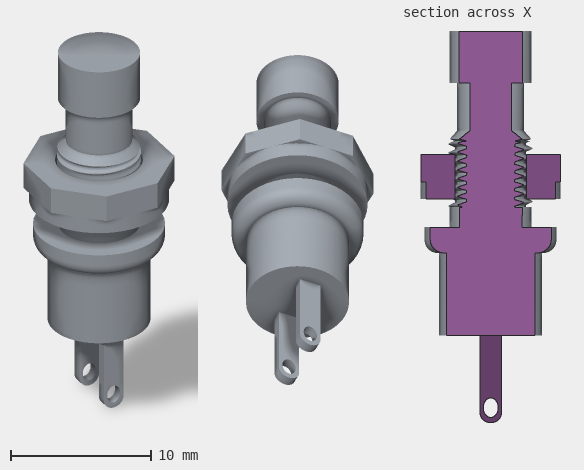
import cadquery as cq
import math

barrel_bottom = 6.2
flange_bottom = 12.09
flange_top = 13.95
thread_bottom = 15.35
washer_bottom = 15.95
nut_bottom = 17.15
nut_top = 19.15
thread_top = 20.07
bushing_rim = 20.2
bushing_top = 20.82
cap_bottom = 24.2
cap_top = 27.9

barrel_diameter = 7.35
flange_diameter = 9.4
flange_fillet = 0.95
bushing_diameter = 5.83
stem_diameter = 4.75
cap_diameter = 5.85

thread_root_diameter = 5.05
thread_crest_diameter = 6.0
lowest_crest = 15.6
highest_crest = 20.0
crest_turns = 7
thread_pitch = (highest_crest - lowest_crest) / crest_turns
ridge_base_height = 0.85 * thread_pitch
ridge_crest_height = 0.05
ridge_embed = 0.05

nut_width = 10.0
nut_hole_diameter = 6.25

terminal_thickness = 0.75
terminal_width = 1.6
terminal_spacing = 3.68
eyelet_width = 1.03
eyelet_height = 1.37
eyelet_center = 1.1


def cylinder(diameter, bottom, top):
    return cq.Workplane("XY").workplane(offset=bottom).circle(diameter / 2).extrude(top - bottom)


def make_threaded_core():
    """Thread core with a helical ridge, trimmed flat at both ends."""
    root_radius = thread_root_diameter / 2
    base_radius = root_radius - ridge_embed
    crest_radius = thread_crest_diameter / 2
    half_base = ridge_base_height / 2
    half_crest = ridge_crest_height / 2
    start = lowest_crest - thread_pitch
    helix_height = (crest_turns + 2) * thread_pitch
    path = cq.Wire.makeHelix(thread_pitch, helix_height, root_radius)
    ridge = (
        cq.Workplane("XZ")
        .polyline([
            (base_radius, -half_base),
            (crest_radius, -half_crest),
            (crest_radius, half_crest),
            (base_radius, half_base),
        ])
        .close()
        .sweep(cq.Workplane(obj=path), isFrenet=True)
        .rotate((0, 0, 0), (0, 0, 1), 180)
        .translate((0, 0, start))
    )
    core = cylinder(thread_root_diameter, start - thread_pitch, start + helix_height + thread_pitch)
    trim = cylinder(2 * thread_crest_diameter, thread_bottom, thread_top)
    return core.union(ridge).intersect(trim)


def make_barrel():
    """Barrel with its rounded flange and the plain lower collar of the bushing."""
    barrel = cylinder(barrel_diameter, barrel_bottom, flange_bottom)
    flange = cylinder(flange_diameter, flange_bottom, flange_top).faces("<Z").edges().fillet(flange_fillet)
    collar = cylinder(bushing_diameter, flange_top, thread_bottom)
    return barrel.union(flange).union(collar)


def make_button_end():
    """Tapered bushing rim with the button stem and cap."""
    profile = (
        cq.Workplane("XZ")
        .moveTo(0, thread_top)
        .lineTo(thread_root_diameter / 2, thread_top)
        .lineTo(bushing_diameter / 2, bushing_rim)
        .lineTo(stem_diameter / 2, bushing_top)
        .lineTo(stem_diameter / 2, cap_bottom)
        .lineTo(cap_diameter / 2, cap_bottom)
        .lineTo(cap_diameter / 2, cap_top)
        .lineTo(0, cap_top)
        .close()
    )
    return profile.revolve(360, (0, 0, 0), (0, 1, 0))


def make_housing():
    return make_barrel().union(make_threaded_core()).union(make_button_end())


def make_nut():
    across_corners = nut_width / math.cos(math.pi / 8)
    octagon = (
        cq.Workplane("XY")
        .workplane(offset=nut_bottom)
        .polygon(8, across_corners)
        .extrude(nut_top - nut_bottom)
        .rotate((0, 0, 0), (0, 0, 1), 180 / 8)
    )
    washer_face = cylinder(nut_width, washer_bottom, nut_bottom)
    hole = cylinder(nut_hole_diameter, washer_bottom, nut_top)
    return octagon.union(washer_face).cut(hole)


def make_terminal(center_x):
    """Flat blade with a round tip and an oval eyelet."""
    half_width = terminal_width / 2
    blade = (
        cq.Workplane("YZ")
        .moveTo(-half_width, barrel_bottom)
        .lineTo(-half_width, half_width)
        .threePointArc((0, 0), (half_width, half_width))
        .lineTo(half_width, barrel_bottom)
        .close()
        .extrude(terminal_thickness / 2, both=True)
    )
    eyelet = (
        cq.Workplane("YZ")
        .center(0, eyelet_center)
        .ellipse(eyelet_width / 2, eyelet_height / 2)
        .extrude(terminal_thickness, both=True)
    )
    return blade.cut(eyelet).translate((center_x, 0, 0))


housing = make_housing()
nut = make_nut()
terminals = [make_terminal(side * terminal_spacing / 2) for side in (-1, 1)]

result = cq.Compound.makeCompound([
    housing.solids().val(),
    nut.solids().val(),
    *[terminal.solids().val() for terminal in terminals],
])